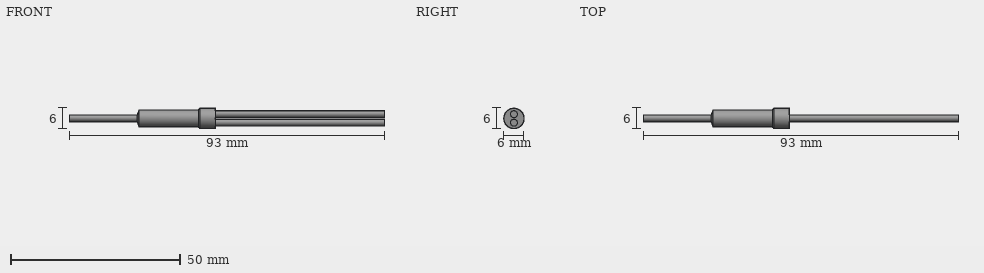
import cadquery as cq

total_length = 93.0
stem_length = 20.0
body_length = 18.0
collar_length = 5.0
stem_start = -total_length / 2
body_start = stem_start + stem_length
collar_start = body_start + body_length
collar_end = collar_start + collar_length
lead_end = total_length / 2

stem_radius = 2.0 / 2
body_radius = 5.0 / 2
collar_radius = 6.0 / 2

nose_length = 0.6
collar_chamfer = collar_radius - body_radius

lead_diameter = 2.0
lead_spacing = 2.5


def make_turned_body():
    """Stem, conical nose, body and chamfered collar revolved about X."""
    return (
        cq.Workplane("XY")
        .moveTo(stem_start, 0)
        .lineTo(stem_start, stem_radius)
        .lineTo(body_start, stem_radius)
        .lineTo(body_start + nose_length, body_radius)
        .lineTo(collar_start, body_radius)
        .lineTo(collar_start + collar_chamfer, collar_radius)
        .lineTo(collar_end, collar_radius)
        .lineTo(collar_end, 0)
        .close()
        .revolve(360, (0, 0, 0), (1, 0, 0))
    )


def make_lead(height):
    """Round lead running from the collar face to the +X end."""
    return (
        cq.Workplane("YZ", origin=(collar_end, 0, height))
        .circle(lead_diameter / 2)
        .extrude(lead_end - collar_end)
    )


result = make_turned_body()
for side in (-1, 1):
    result = result.union(make_lead(side * lead_spacing / 2))